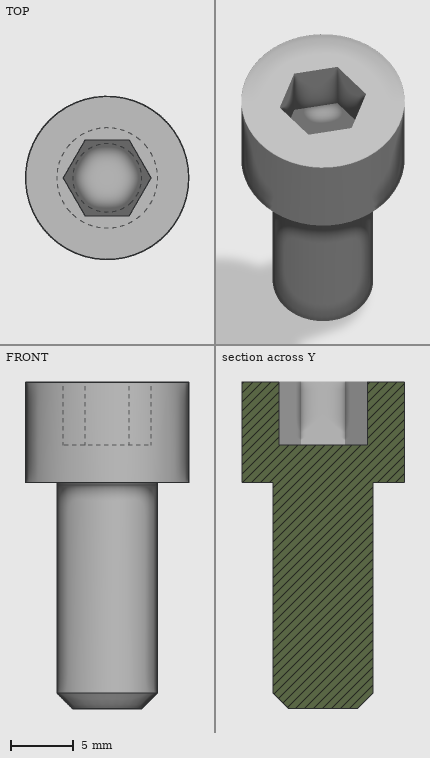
import cadquery as cq
import math

head_diameter = 13.0
head_height = 8.0
head_rim_chamfer = 0.03
shank_diameter = 8.0
shank_length = 18.0
tip_chamfer = 1.27

neck_length = 0.2
neck_taper_angle = 1.0

socket_across_flats = 6.05
socket_depth = 5.0


def make_blank():
    """Revolve the half profile of the head and shank about the Z axis."""
    head_radius = head_diameter / 2
    shank_radius = shank_diameter / 2
    neck_radius = shank_radius - neck_length * math.tan(math.radians(neck_taper_angle))
    profile = (
        cq.Workplane("XZ")
        .moveTo(0, head_height)
        .lineTo(head_radius - head_rim_chamfer, head_height)
        .lineTo(head_radius, head_height - head_rim_chamfer)
        .lineTo(head_radius, 0)
        .lineTo(neck_radius, 0)
        .lineTo(shank_radius, -neck_length)
        .lineTo(shank_radius, tip_chamfer - shank_length)
        .lineTo(shank_radius - tip_chamfer, -shank_length)
        .lineTo(0, -shank_length)
        .close()
    )
    return profile.revolve(360, (0, 0, 0), (0, 1, 0))


def make_socket():
    """Hexagonal recess with two of its corners on the X axis."""
    across_corners = socket_across_flats / math.cos(math.pi / 6)
    top = cq.Workplane("XY").workplane(offset=head_height)
    return top.polygon(6, across_corners).extrude(-socket_depth)


result = make_blank().cut(make_socket())